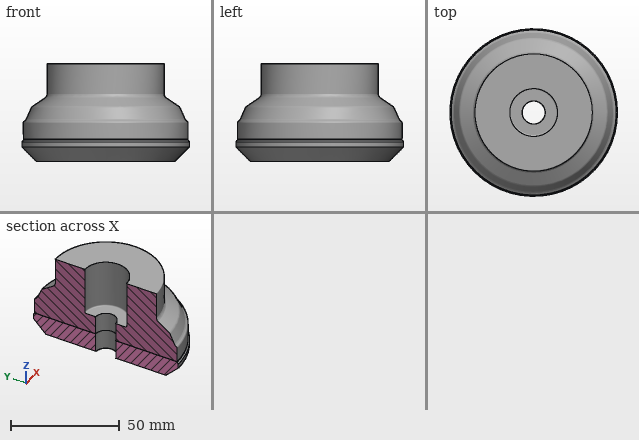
import cadquery as cq
import math

TOTAL_HEIGHT = 45.05
BOLT_HOLE_DIAMETER = 10.5

BASE_HEIGHT = 10.3
RIM_RADIUS = 38.59
RIM_BOTTOM_Z = 6.7
RIM_TOP_Z = 9.05
RIM_SLOPE_TOP_Z = 9.95
UNDERSIDE_ANGLE = 45.0

NECK_RADIUS = 54 / 2
SKIRT_RADIUS = 75.94 / 2
SHOULDER_ANGLE = 34.0
FLANK_ANGLE = 65.7
NECK_FOOT_Z = 29.9
SHOULDER_RADIUS = 34.05
FLANK_FOOT_RADIUS = 36.83
SHOULDER_FILLET = 2.0
SKIRT_FILLET = 1.0
NECK_TOP_FILLET = 0.35

BORE_DIAMETER = 22.01
BORE_DEPTH = 25.0
BORE_FLOOR_FILLET = 0.65


def drop(run, angle):
    """Height lost along a slope over a radial run."""
    return run * math.tan(math.radians(angle))


def revolve_profile(points):
    """Turn a closed (radius, z) outline about the Z axis."""
    return cq.Workplane("XZ").polyline(points).close().revolve(360, (0, 0), (0, 1))


def fillet_ring(body, radius, z, fillet):
    """Round the circular edge with the given radius and height."""
    tolerance = 0.01
    ring = body.edges("%CIRCLE").filter(
        lambda edge: abs(edge.Center().z - z) < tolerance
        and abs(edge.radius() - radius) < tolerance
    )
    return ring.fillet(fillet)


def make_base():
    bottom_radius = RIM_RADIUS - RIM_BOTTOM_Z / math.tan(math.radians(UNDERSIDE_ANGLE))
    bolt_radius = BOLT_HOLE_DIAMETER / 2
    return revolve_profile([
        (bolt_radius, 0),
        (bottom_radius, 0),
        (RIM_RADIUS, RIM_BOTTOM_Z),
        (RIM_RADIUS, RIM_TOP_Z),
        (SKIRT_RADIUS, RIM_SLOPE_TOP_Z),
        (SKIRT_RADIUS, BASE_HEIGHT),
        (bolt_radius, BASE_HEIGHT),
    ])


def make_housing():
    shoulder_z = NECK_FOOT_Z - drop(SHOULDER_RADIUS - NECK_RADIUS, SHOULDER_ANGLE)
    flank_foot_z = shoulder_z - drop(FLANK_FOOT_RADIUS - SHOULDER_RADIUS, FLANK_ANGLE)
    skirt_top_z = flank_foot_z - drop(SKIRT_RADIUS - FLANK_FOOT_RADIUS, SHOULDER_ANGLE)
    bore_floor_z = TOTAL_HEIGHT - BORE_DEPTH
    bore_radius = BORE_DIAMETER / 2
    bolt_radius = BOLT_HOLE_DIAMETER / 2
    housing = revolve_profile([
        (bolt_radius, BASE_HEIGHT),
        (SKIRT_RADIUS, BASE_HEIGHT),
        (SKIRT_RADIUS, skirt_top_z),
        (FLANK_FOOT_RADIUS, flank_foot_z),
        (SHOULDER_RADIUS, shoulder_z),
        (NECK_RADIUS, NECK_FOOT_Z),
        (NECK_RADIUS, TOTAL_HEIGHT),
        (bore_radius, TOTAL_HEIGHT),
        (bore_radius, bore_floor_z),
        (bolt_radius, bore_floor_z),
    ])
    rounded_rings = [
        (SKIRT_RADIUS, skirt_top_z, SKIRT_FILLET),
        (FLANK_FOOT_RADIUS, flank_foot_z, SHOULDER_FILLET),
        (SHOULDER_RADIUS, shoulder_z, SHOULDER_FILLET),
        (NECK_RADIUS, NECK_FOOT_Z, SHOULDER_FILLET),
        (NECK_RADIUS, TOTAL_HEIGHT, NECK_TOP_FILLET),
        (bore_radius, bore_floor_z, BORE_FLOOR_FILLET),
    ]
    for radius, z, fillet in rounded_rings:
        housing = fillet_ring(housing, radius, z, fillet)
    return housing


base = make_base()
housing = make_housing()
result = cq.Compound.makeCompound([base.val(), housing.val()])